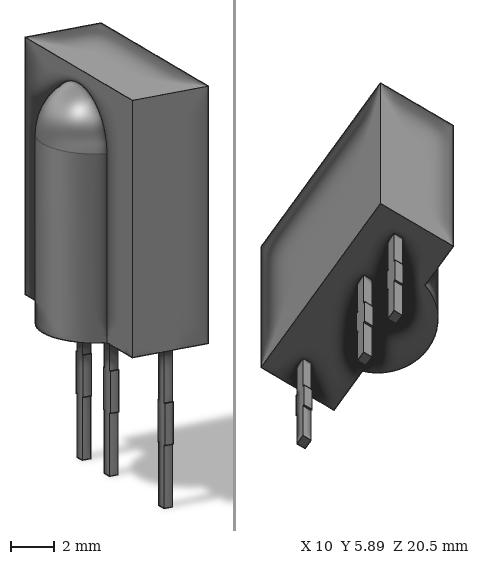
import cadquery as cq
import math

body_width = 10.0
body_depth = 4.0
body_height = 12.5
overall_height = 20.5
front_y = -body_depth / 2

lens_projection = 1.89
lens_half_width = 2.62
lens_radius = (lens_half_width**2 + lens_projection**2) / (2 * lens_projection)
lens_axis_y = front_y - lens_projection + lens_radius
lens_cylinder_height = 9.18

lead_pitch = 2.55
lead_positions = (-1.5 * lead_pitch, -0.5 * lead_pitch, 1.5 * lead_pitch)
lead_length = overall_height - body_height
lead_width = 0.51
lead_thickness = 0.45
lead_setback = 2.42
lead_y = front_y + lead_setback
shoulder_width = 0.65
shoulder_top = -2.87
shoulder_height = 2.05


def make_body():
    return cq.Workplane("XY").box(body_width, body_depth, body_height, centered=(True, True, False))


def make_lens():
    """Revolve the rounded profile, keeping only the part ahead of mid-body."""
    diagonal = lens_radius * math.sqrt(0.5)
    lens = (
        cq.Workplane("XZ", origin=(0, lens_axis_y, 0))
        .lineTo(lens_radius, 0)
        .lineTo(lens_radius, lens_cylinder_height)
        .threePointArc(
            (diagonal, lens_cylinder_height + diagonal),
            (0, lens_cylinder_height + lens_radius),
        )
        .close()
        .revolve(360, (0, 0, 0), (0, 1, 0))
    )
    front_half = make_body().translate((0, front_y, 0))
    return lens.intersect(front_half)


def make_lead(x):
    """Straight lead with a wider shoulder part way down."""
    pin = (
        cq.Workplane("XY", origin=(x, lead_y, 0))
        .rect(lead_width, lead_thickness)
        .extrude(-lead_length)
    )
    shoulder = (
        cq.Workplane("XY", origin=(x, lead_y, shoulder_top))
        .rect(shoulder_width, lead_thickness)
        .extrude(-shoulder_height)
    )
    return pin.union(shoulder)


result = make_body().union(make_lens())
for lead_x in lead_positions:
    result = result.union(make_lead(lead_x))